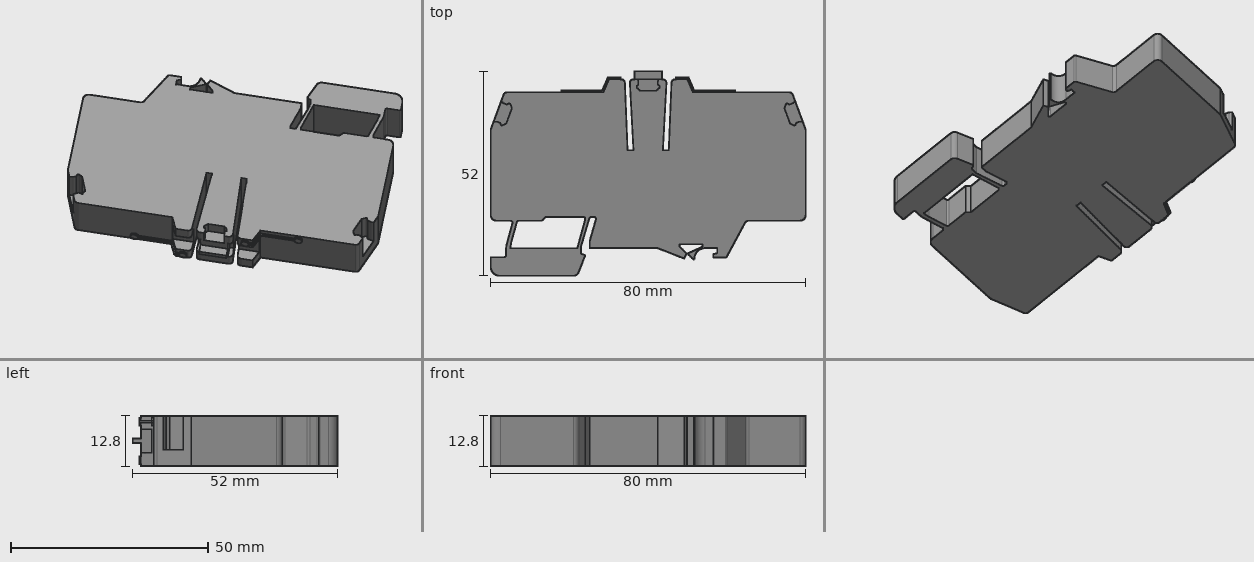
import cadquery as cq
import math

LENGTH = 80.0
WIDTH = 52.0
THICKNESS = 12.8
HALF = LENGTH / 2

BODY_BOTTOM = 14.0
BODY_TOP = 46.6
CROWN_TOP = 49.9
CORNER_RADIUS = 1.5
SHOULDER_RADIUS = 1.0

END_SLOPE_START = 37.1
END_SLOPE_RUN = 3.5
END_SLOPE_RISE = BODY_TOP - END_SLOPE_START

RAMP_FOOT = 11.4
RAMP_HEAD = 9.9
SLOT_FLOOR = 31.9
SLOT_OUTER_TOP = 5.9
SLOT_OUTER_FLOOR = 5.2
FINGER_TOP = 4.7
FINGER_FLOOR = 3.8
CROWN_RADIUS = 1.0

LEG_ROOT = 15.0
RAIL_FACE = 7.0
HOOK_BOTTOM = 4.6
CLAW_TIP = 4.2
CLAW_PINCH = 5.7
CLAW_ROOF = 8.0
CLAW_ROOT_X = 13.8
CLAW_RADIUS = 2.6
FOOT_STEP = 4.8
FOOT_RADIUS = 2.4
LEG_BEND = 7.4
LEG_BEND_RADIUS = 2.8
SMALL_RADIUS = 0.5
FINE_RADIUS = 0.3

POCKET_CENTRE_Y = 41.8
POCKET_CENTRE_X = HALF - END_SLOPE_RUN * (POCKET_CENTRE_Y - END_SLOPE_START) / END_SLOPE_RISE
POCKET_FLOOR = 4.2
POCKET_MOUTH = 2.7
POCKET_NECK = 2.5
POCKET_FLARE = 3.1
POCKET_BACK = 2.1
POCKET_DEPTH = 3.2
NECK_START = 0.8
NECK_END = 1.7
FLARE_DEPTH = 2.2
CROWN_POCKET_SETBACK = 0.3

PLATE_HALF = 3.5
PLATE_BOTTOM = 3.4
PLATE_TOP = THICKNESS - PLATE_BOTTOM
PLATE_BACK = 47.1
TAB_BOTTOM = 5.8
TAB_THICKNESS = 1.2

SYMBOL_HEIGHT = 0.5
SYMBOL_LINE = 0.4
DOT_DIAMETER = 2.0
LOW_DOT_X = 21.1
HIGH_DOT_X = 8.0
SYMBOL_EDGE_GAP = 1.5


def rounded_outline(corners):
    """Closed wire from (x, y, radius) corners; a zero radius leaves the corner sharp."""
    outline = cq.Workplane("XY")
    for i, (x, y, radius) in enumerate(corners):
        corner = cq.Vector(x, y)
        to_previous = (cq.Vector(*corners[i - 1][:2]) - corner).normalized()
        to_next = (cq.Vector(*corners[(i + 1) % len(corners)][:2]) - corner).normalized()
        half_angle = to_previous.getAngle(to_next) / 2
        setback = radius / math.tan(half_angle)
        start = (corner + to_previous * setback).toTuple()[:2]
        outline = outline.moveTo(*start) if i == 0 else outline.lineTo(*start)
        if radius > 0:
            bisector = (to_previous + to_next).normalized()
            middle = corner + bisector * (radius / math.sin(half_angle) - radius)
            end = corner + to_next * setback
            outline = outline.threePointArc(middle.toTuple()[:2], end.toTuple()[:2])
    return outline.close()


def mirrored(corners):
    """The same corners on the other side of X = 0, in reverse order."""
    return [(-x, y, radius) for x, y, radius in reversed(corners)]


def both_sides(solid):
    """The solid together with its mirror image across X = 0."""
    return solid.union(solid.mirror("YZ"))


def block(x_min, x_max, y_min, y_max, z_min, z_max):
    """Box between the given limits."""
    size = (x_max - x_min, y_max - y_min, z_max - z_min)
    return cq.Workplane("XY").box(*size, centered=False).translate((x_min, y_min, z_min))


def make_body():
    """Full-thickness housing, listed clockwise from the left side wall."""
    crown_left = [
        (-HALF, END_SLOPE_START, 0),
        (-HALF + END_SLOPE_RUN, BODY_TOP, SHOULDER_RADIUS),
        (-RAMP_FOOT, BODY_TOP, 0),
        (-RAMP_HEAD, CROWN_TOP, 0),
        (-SLOT_OUTER_TOP, CROWN_TOP, CROWN_RADIUS),
        (-SLOT_OUTER_FLOOR, SLOT_FLOOR, 0),
        (-FINGER_FLOOR, SLOT_FLOOR, 0),
        (-FINGER_TOP, CROWN_TOP, CROWN_RADIUS),
    ]
    rail_hook = [
        (HALF, BODY_BOTTOM, CORNER_RADIUS),
        (24.9, BODY_BOTTOM, SHOULDER_RADIUS),
        (19.8, HOOK_BOTTOM, SMALL_RADIUS),
        (16.5, HOOK_BOTTOM, FINE_RADIUS),
        (16.5, 5.5, 0),
        (17.5, 5.8, 0),
        (17.5, RAIL_FACE, 0),
    ]
    spring_claw = [
        (11.9, RAIL_FACE, CLAW_RADIUS),
        (11.8, 4.4, 0),
        (11.5, CLAW_TIP, 0),
        (9.9, CLAW_PINCH, 0),
        (CLAW_ROOT_X, 7.4, 0),
        (CLAW_ROOT_X, CLAW_ROOF, 0),
        (7.4, CLAW_ROOF, FINE_RADIUS),
        (9.8, CLAW_PINCH, 0),
        (9.1, 4.4, 0),
        (2.4, RAIL_FACE, 0),
    ]
    spring_foot = [
        (-14.9, RAIL_FACE, 0),
        (-14.9, 8.8, 0),
        (-13.1, LEG_ROOT, SMALL_RADIUS),
        (-14.8, LEG_ROOT, SMALL_RADIUS),
        (-17.0, LEG_BEND, 0),
        (-17.0, CLAW_PINCH, 0),
        (-15.9, 5.3, FINE_RADIUS),
        (-18.0, 0, CORNER_RADIUS),
        (-HALF, 0, FOOT_RADIUS),
        (-HALF, FOOT_STEP, FINE_RADIUS),
        (-36.1, FOOT_STEP, SMALL_RADIUS),
        (-36.1, LEG_BEND, LEG_BEND_RADIUS),
        (-34.3, BODY_BOTTOM, SMALL_RADIUS),
        (-HALF, BODY_BOTTOM, CORNER_RADIUS),
    ]
    outline = crown_left + mirrored(crown_left) + rail_hook + spring_claw + spring_foot
    return rounded_outline(outline).extrude(THICKNESS)


def make_foot_window():
    """Through opening between the two spring legs."""
    corners = [
        (-35.0, RAIL_FACE, 0),
        (-34.7, 8.6, 0),
        (-33.2, BODY_BOTTOM, SMALL_RADIUS),
        (-27.0, BODY_BOTTOM, 0),
        (-26.0, LEG_ROOT, 0),
        (-15.8, LEG_ROOT, SMALL_RADIUS),
        (-18.0, RAIL_FACE, 0),
    ]
    return rounded_outline(corners).extrude(THICKNESS)


def make_pocket(floor):
    """Dovetail-like marker pocket open to +Y at the origin and open at the upper face."""
    left_side = [
        (-POCKET_MOUTH, 0, 0),
        (-POCKET_NECK, -NECK_START, 0),
        (-POCKET_NECK, -NECK_END, 0),
        (-POCKET_FLARE, -FLARE_DEPTH, FINE_RADIUS),
        (-POCKET_BACK, -POCKET_DEPTH, 0),
    ]
    outline = rounded_outline(left_side + mirrored(left_side))
    return outline.extrude(THICKNESS - floor).translate((0, 0, floor))


def make_end_pockets():
    """One pocket in each sloped end face, square to the slope."""
    slope_angle = math.degrees(math.atan2(END_SLOPE_RISE, END_SLOPE_RUN))
    pocket = make_pocket(POCKET_FLOOR).rotate((0, 0, 0), (0, 0, 1), slope_angle)
    return both_sides(pocket.translate((-POCKET_CENTRE_X, POCKET_CENTRE_Y, 0)))


def make_crown_pocket():
    """Pocket in the finger, down to the marker plate."""
    return make_pocket(PLATE_TOP).translate((0, CROWN_TOP + CROWN_POCKET_SETBACK, 0))


def make_plate_notches():
    """Clearance beside the marker plate, through both ramps and the finger edges."""
    notch = block(-RAMP_FOOT, -PLATE_HALF, PLATE_BACK, CROWN_TOP, PLATE_BOTTOM, PLATE_TOP)
    return both_sides(notch)


def make_tab():
    """Tab standing out of the marker plate."""
    tab_top = TAB_BOTTOM + TAB_THICKNESS
    return block(-PLATE_HALF, PLATE_HALF, PLATE_BACK, WIDTH, TAB_BOTTOM, tab_top)


def make_symbol(level):
    """Raised line up the left ramp with a round dot at each end, centred on Z = level."""
    ramp_angle = math.atan2(CROWN_TOP - BODY_TOP, RAMP_FOOT - RAMP_HEAD)
    shift = SYMBOL_HEIGHT * math.tan(ramp_angle / 2)
    line = (
        cq.Workplane("XY")
        .polyline([
            (-LOW_DOT_X, BODY_TOP),
            (-LOW_DOT_X, BODY_TOP + SYMBOL_HEIGHT),
            (-RAMP_FOOT - shift, BODY_TOP + SYMBOL_HEIGHT),
            (-RAMP_HEAD - shift, CROWN_TOP + SYMBOL_HEIGHT),
            (-HIGH_DOT_X, CROWN_TOP + SYMBOL_HEIGHT),
            (-HIGH_DOT_X, CROWN_TOP),
            (-RAMP_HEAD, CROWN_TOP),
            (-RAMP_FOOT, BODY_TOP),
        ])
        .close()
        .extrude(SYMBOL_LINE)
        .translate((0, 0, level - SYMBOL_LINE / 2))
    )
    for dot_x, face in ((LOW_DOT_X, BODY_TOP), (HIGH_DOT_X, CROWN_TOP)):
        dot = cq.Solid.makeCylinder(
            DOT_DIAMETER / 2, SYMBOL_HEIGHT, cq.Vector(-dot_x, face, level), cq.Vector(0, 1, 0)
        )
        line = line.union(cq.Workplane(dot))
    return line


left_symbol = make_symbol(THICKNESS - SYMBOL_EDGE_GAP)
right_symbol = make_symbol(SYMBOL_EDGE_GAP).mirror("YZ")

result = (
    make_body()
    .cut(make_foot_window())
    .cut(make_end_pockets())
    .cut(make_crown_pocket())
    .cut(make_plate_notches())
    .union(make_tab())
    .union(left_symbol)
    .union(right_symbol)
)